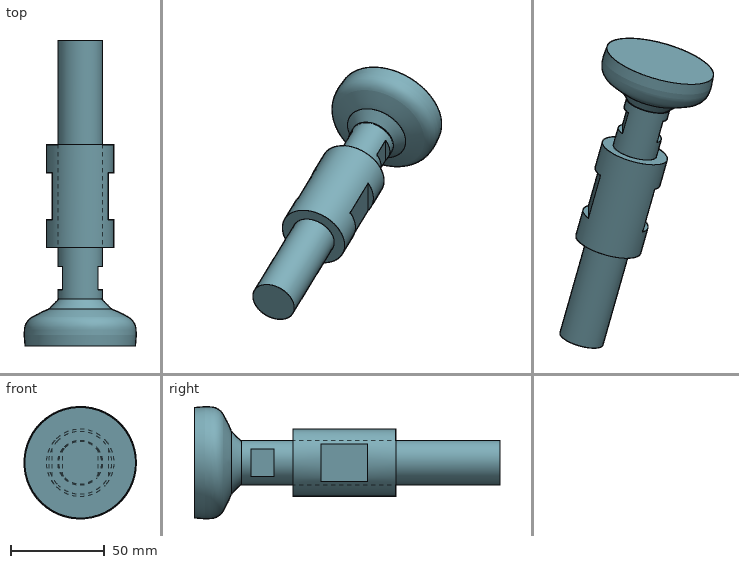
import cadquery as cq

total_length = 163.0

foot_radius = 30.0
foot_base_radius = 29.5
foot_widest_height = 5.9
foot_rim_radius = 29.8
foot_rim_height = 8.8
foot_shoulder_radius = 25.9
foot_shoulder_height = 15.3
foot_flare_radius = 16.8
foot_flare_height = 19.7
foot_top_radius = 11.4
foot_height = 25.1

rod_diameter = 24.0
rod_radius = rod_diameter / 2
rod_flat_start = 30.2
rod_flat_length = 12.2
rod_across_flats = 19.0

sleeve_diameter = 36.0
sleeve_start = 52.5
sleeve_length = 55.0
sleeve_flat_length = 25.0
sleeve_flat_start = sleeve_start + (sleeve_length - sleeve_flat_length) / 2
sleeve_across_flats = 30.0


def cylinder(diameter, start, length):
    """Cylinder about the Y axis, running from start towards +Y."""
    return cq.Workplane("XZ").workplane(offset=-start).circle(diameter / 2).extrude(-length)


def cut_flats(body, diameter, across_flats, start, length):
    """Cut a wrench flat on the -X and +X sides of a round body."""
    middle = start + length / 2
    for side in (-1, 1):
        depth = diameter - across_flats / 2
        x_center = side * (across_flats / 2 + depth / 2)
        cutter = cq.Workplane("XY").box(depth, length, 2 * diameter).translate((x_center, middle, 0))
        body = body.cut(cutter)
    return body


def make_spindle():
    """Foot and rod turned as one piece, with wrench flats on the rod."""
    turned = (
        cq.Workplane("XY")
        .lineTo(foot_base_radius, 0)
        .lineTo(foot_radius, foot_widest_height)
        .lineTo(foot_rim_radius, foot_rim_height)
        .tangentArcPoint((foot_shoulder_radius, foot_shoulder_height), relative=False)
        .tangentArcPoint((foot_flare_radius, foot_flare_height), relative=False)
        .lineTo(foot_top_radius, foot_height)
        .lineTo(rod_radius, foot_height)
        .lineTo(rod_radius, total_length)
        .lineTo(0, total_length)
        .close()
        .revolve(360, (0, 0, 0), (0, 1, 0))
    )
    return cut_flats(turned, rod_diameter, rod_across_flats, rod_flat_start, rod_flat_length)


def make_sleeve():
    """Sleeve bored to fit the rod, with wrench flats on the outside."""
    outside = cylinder(sleeve_diameter, sleeve_start, sleeve_length)
    bore = cylinder(rod_diameter, sleeve_start, sleeve_length)
    tube = outside.cut(bore)
    return cut_flats(tube, sleeve_diameter, sleeve_across_flats, sleeve_flat_start, sleeve_flat_length)


spindle = make_spindle()
sleeve = make_sleeve()

result = cq.Compound.makeCompound([spindle.val(), sleeve.val()])